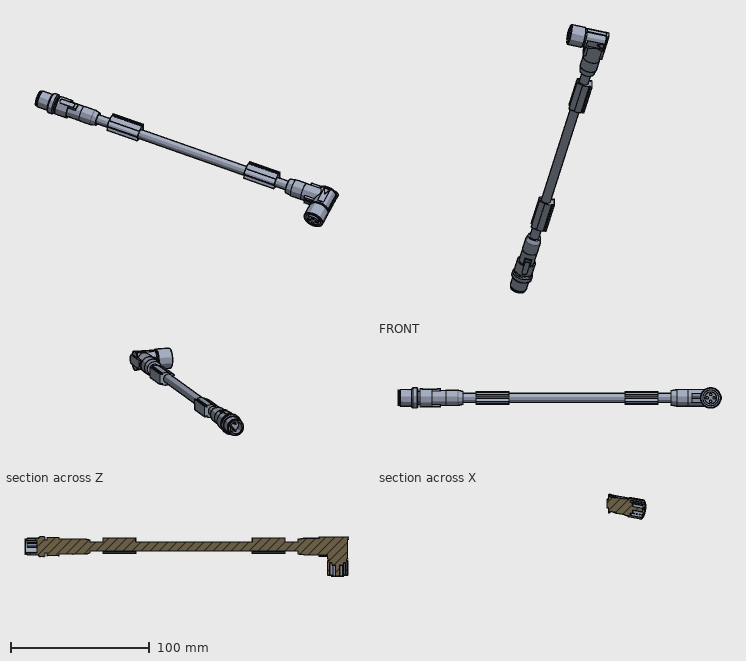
import cadquery as cq
import math

TOTAL_LENGTH = 233.05
KNURL_RADIUS = 7.4
FEMALE_REACH = 21.5
ELBOW_AXIS_X = 225.4

CABLE_RADIUS = 3.4
SLEEVE_LENGTH = 23.8
SLEEVE_STARTS = (56.1, 163.6)
SLEEVE_DOME_HEIGHT = 4.75
SLEEVE_LIP_HEIGHT = 3.9
SLEEVE_LIP_CROWN_HEIGHT = 3.54
SLEEVE_TIP_HEIGHT = 2.45
SLEEVE_STEP_Y = -0.8
SLEEVE_TIP_Y = -4.9
SLEEVE_V_BOTTOM_Y = -3.0
SLEEVE_DOME_END_Y = 4.2
SLEEVE_RAIL_Y = 5.2
SLEEVE_BACK_Y = 6.3
SLEEVE_NECK_HEIGHT = 3.4

MALE_THREAD_RADIUS = 6.1
MALE_NOSE_RADIUS = 5.6
MALE_NOSE_LENGTH = 0.9
MALE_THREAD_START = 1.8
MALE_RING_START = 9.7
MALE_RING_END = 14.3
RING_CHAMFER = 0.8
MALE_NECK_RADIUS = 4.9
MALE_HEAD_START = 15.7
MALE_HEAD_END = 24.5
MALE_HEAD_RADIUS = 6.7
MALE_BODY_RADIUS = 5.5
MALE_GRIP_START = 34.4
MALE_GRIP_END = 43.3
MALE_GRIP_RADIUS = 5.6
MALE_TAIL_END = 46.8
MALE_TAIL_RADIUS = 4.7
MALE_BORE_RADIUS = 4.4
MALE_BORE_DEPTH = 8.5
PIN_RADIUS = 0.5
PIN_CIRCLE_RADIUS = 2.5
CONTACT_POSITIONS = 4
PIN_RECESS = 1.5
TONGUE_CREST_WIDTH = 4.3
TONGUE_ROOT_WIDTH = 5.4
TONGUE_ROOT_HEIGHT = 4.6
TONGUE_END = 30.5
WINDOW_START = 17.2
WINDOW_END = 28.4
WINDOW_WIDTH = 3.8
WINDOW_CORNER = 1.5
WINDOW_DEPTH = 0.6

BOOT_START = 196.6
BOOT_END_RADIUS = 5.3
BOOT_GRIP_START = 201.0
BOOT_GRIP_END = 209.2
BOOT_GRIP_RADIUS = 6.2
ELBOW_BODY_RADIUS = 6.1
LATCH_START = 212.0
LATCH_WIDTH = 6.6
LATCH_Y = -7.0
LATCH_GROOVE_WIDTH = 1.2
LATCH_GROOVE_DEPTH = 0.8
HEAD_RADIUS = 6.8
COVER_RADIUS = 7.1
COVER_BOTTOM_Y = 5.2
COVER_TOP_Y = 5.9
BAR_TOP_Y = 7.0
BAR_CORNER = 3.0
HEAD_BOTTOM_Y = -9.0
HEAD_RIB_WIDTH = 4.0
SOCKET_NECK_RADIUS = 6.5
SOCKET_TOP_Y = -10.0
SOCKET_RIM_Y = -20.8
SOCKET_BORE_RADIUS = 5.7
SOCKET_BORE_DEPTH = 9.0
INSERT_RADIUS = 4.3
CONTACT_RADIUS = 0.9
CONTACT_DEPTH = 8.0
KEY_WIDTH = 1.2
KEY_DEPTH = 0.8
MARK_WIDTH = 4.6
MARK_START_Y = -7.5
MARK_END_Y = 4.8
MARK_DEPTH = 0.5
ARROW_LENGTH = 5.0
ARROW_DEPTH = 0.5

KNURL_TEETH = 24
KNURL_DEPTH = 0.25
SOCKET_CHAMFER = 0.4


def x_cylinder(start, end, radius):
    """Cylinder on the cable axis."""
    return cq.Workplane("YZ").workplane(offset=start).circle(radius).extrude(end - start)


def elbow_cylinder(y_start, y_end, radius):
    """Cylinder on the elbow axis, running from y_start down to y_end."""
    plane = cq.Workplane("XZ", origin=(ELBOW_AXIS_X, y_start, 0))
    return plane.circle(radius).extrude(y_start - y_end)


def box(x_range, y_range, z_range):
    """Box between two limits on each axis."""
    sizes = [high - low for low, high in (x_range, y_range, z_range)]
    corner = (x_range[0], y_range[0], z_range[0])
    return cq.Workplane("XY").box(*sizes, centered=False).translate(corner)


def turned(profile):
    """Solid of revolution about the cable axis from (x, radius) points."""
    points = [(profile[0][0], 0)] + profile + [(profile[-1][0], 0)]
    return cq.Workplane("XY").polyline(points).close().revolve(360, (0, 0, 0), (1, 0, 0))


def contact_points():
    """Contact positions on the pin circle."""
    angles = [2 * math.pi * i / CONTACT_POSITIONS for i in range(CONTACT_POSITIONS)]
    return [(PIN_CIRCLE_RADIUS * math.cos(a), PIN_CIRCLE_RADIUS * math.sin(a)) for a in angles]


def knurled_nut(length, chamfer):
    """Ring blank along Z from the origin with a smooth wavy rim and chamfered ends."""
    mean_radius = KNURL_RADIUS - KNURL_DEPTH / 2

    def rim(t):
        radius = mean_radius + KNURL_DEPTH / 2 * math.cos(KNURL_TEETH * t)
        return (radius * math.cos(t), radius * math.sin(t), 0)

    points_per_tooth = 4
    wave = cq.Workplane("XY").parametricCurve(rim, KNURL_TEETH * points_per_tooth, 0, 2 * math.pi)
    blank = cq.Workplane("XY").circle(KNURL_RADIUS).extrude(length).edges().chamfer(chamfer)
    return wave.extrude(length).intersect(blank)


def label_sleeve(start):
    """Clip-on label sleeve with a V mouth towards -Y and a label rail at +Y."""
    dome_mid = (SLEEVE_STEP_Y + SLEEVE_DOME_END_Y) / 2
    lip_mid = (SLEEVE_STEP_Y + SLEEVE_TIP_Y) / 2
    dome_edge = (SLEEVE_DOME_HEIGHT + SLEEVE_LIP_HEIGHT) / 2
    half = (
        cq.Workplane("YZ", origin=(start, 0, 0))
        .moveTo(SLEEVE_BACK_Y, 0)
        .lineTo(SLEEVE_BACK_Y, SLEEVE_LIP_HEIGHT)
        .lineTo(SLEEVE_RAIL_Y, SLEEVE_LIP_HEIGHT)
        .lineTo(SLEEVE_RAIL_Y, SLEEVE_NECK_HEIGHT)
        .lineTo(SLEEVE_DOME_END_Y, SLEEVE_NECK_HEIGHT)
        .lineTo(SLEEVE_DOME_END_Y, dome_edge)
        .threePointArc((dome_mid, SLEEVE_DOME_HEIGHT), (SLEEVE_STEP_Y, dome_edge))
        .lineTo(SLEEVE_STEP_Y, SLEEVE_LIP_HEIGHT)
        .threePointArc((lip_mid, SLEEVE_LIP_CROWN_HEIGHT), (SLEEVE_TIP_Y, SLEEVE_TIP_HEIGHT))
        .lineTo(SLEEVE_V_BOTTOM_Y, 0)
        .close()
        .extrude(SLEEVE_LENGTH)
    )
    return half.union(half.mirror("XY"))


def male_connector():
    """Straight pin connector with a knurled coupling ring and a tapered tail."""
    body = turned([
        (0, MALE_NOSE_RADIUS),
        (MALE_NOSE_LENGTH, MALE_NOSE_RADIUS),
        (MALE_THREAD_START, MALE_THREAD_RADIUS),
        (MALE_RING_START, MALE_THREAD_RADIUS),
        (MALE_RING_START, MALE_NECK_RADIUS),
        (MALE_HEAD_START, MALE_NECK_RADIUS),
        (MALE_HEAD_START, MALE_HEAD_RADIUS),
        (MALE_HEAD_END, MALE_HEAD_RADIUS),
        (MALE_HEAD_END, MALE_BODY_RADIUS),
        (MALE_GRIP_START, MALE_BODY_RADIUS),
        (MALE_GRIP_START, MALE_GRIP_RADIUS),
        (MALE_GRIP_END, MALE_GRIP_RADIUS),
        (MALE_TAIL_END, MALE_TAIL_RADIUS),
    ])
    ring = knurled_nut(MALE_RING_END - MALE_RING_START, RING_CHAMFER)
    body = body.union(ring.rotate((0, 0, 0), (0, 1, 0), 90).translate((MALE_RING_START, 0, 0)))
    body = body.union(tongues()).cut(tongue_windows())
    return body.cut(x_cylinder(0, MALE_BORE_DEPTH, MALE_BORE_RADIUS)).union(pins())


def tongues():
    """Tapered tongues continuing the head at +Z and -Z."""
    half_crest = TONGUE_CREST_WIDTH / 2
    half_root = TONGUE_ROOT_WIDTH / 2
    tongue = (
        cq.Workplane("YZ", origin=(MALE_HEAD_START, 0, 0))
        .moveTo(0, 0)
        .lineTo(half_root, TONGUE_ROOT_HEIGHT)
        .lineTo(half_crest, MALE_HEAD_RADIUS)
        .lineTo(-half_crest, MALE_HEAD_RADIUS)
        .lineTo(-half_root, TONGUE_ROOT_HEIGHT)
        .close()
        .extrude(TONGUE_END - MALE_HEAD_START)
        .intersect(x_cylinder(MALE_HEAD_START, TONGUE_END, MALE_HEAD_RADIUS))
    )
    return tongue.union(tongue.mirror("XY"))


def tongue_windows():
    """Shallow round-cornered pockets in the +Z and -Z tongues."""
    center_x = (WINDOW_START + WINDOW_END) / 2
    floor = MALE_HEAD_RADIUS - WINDOW_DEPTH
    window = (
        cq.Workplane("XY", origin=(center_x, 0, floor))
        .rect(WINDOW_END - WINDOW_START, WINDOW_WIDTH)
        .extrude(2 * WINDOW_DEPTH)
        .edges("|Z")
        .fillet(WINDOW_CORNER)
    )
    return window.union(window.mirror("XY"))


def pins():
    """Three contact pins on the floor of the male bore; the -Y position stays empty."""
    plane = cq.Workplane("YZ", origin=(PIN_RECESS, 0, 0))
    points = [p for p in contact_points() if p[0] > -PIN_RADIUS]
    return plane.pushPoints(points).circle(PIN_RADIUS).extrude(MALE_BORE_DEPTH - PIN_RECESS)


def elbow_body():
    """Cable boot, upright head, cover and latch pad of the angled connector."""
    boot = turned([
        (BOOT_START, BOOT_END_RADIUS),
        (BOOT_GRIP_START, ELBOW_BODY_RADIUS),
        (BOOT_GRIP_START, BOOT_GRIP_RADIUS),
        (BOOT_GRIP_END, BOOT_GRIP_RADIUS),
        (BOOT_GRIP_END, ELBOW_BODY_RADIUS),
        (ELBOW_AXIS_X, ELBOW_BODY_RADIUS),
    ])
    half_latch = LATCH_WIDTH / 2
    half_groove = LATCH_GROOVE_WIDTH / 2
    pad = box((LATCH_START, ELBOW_AXIS_X), (LATCH_Y, 0), (-half_latch, half_latch))
    bar = box((LATCH_START, TOTAL_LENGTH), (COVER_BOTTOM_Y, BAR_TOP_Y), (-half_latch, half_latch))
    bar = bar.edges("|Y and >X").fillet(BAR_CORNER)
    bar_root = box((LATCH_START, ELBOW_AXIS_X), (0, COVER_BOTTOM_Y), (-half_latch, half_latch))
    groove = box(
        (LATCH_START, ELBOW_AXIS_X - HEAD_RADIUS),
        (LATCH_Y, LATCH_Y + LATCH_GROOVE_DEPTH),
        (-half_groove, half_groove),
    )
    head = elbow_cylinder(COVER_BOTTOM_Y, HEAD_BOTTOM_Y, HEAD_RADIUS)
    cover = elbow_cylinder(COVER_TOP_Y, COVER_BOTTOM_Y, COVER_RADIUS)
    half_rib = HEAD_RIB_WIDTH / 2
    rib_reach = (ELBOW_AXIS_X - KNURL_RADIUS, ELBOW_AXIS_X + KNURL_RADIUS)
    ribs = box(rib_reach, (HEAD_BOTTOM_Y, COVER_BOTTOM_Y), (-half_rib, half_rib))
    ribs = ribs.intersect(elbow_cylinder(COVER_BOTTOM_Y, HEAD_BOTTOM_Y, KNURL_RADIUS))
    body = boot.union(pad).cut(groove)
    for piece in (bar_root, bar, head, cover, ribs):
        body = body.union(piece)
    return body.cut(head_marks())


def head_marks():
    """Flat with a deeper arrow on the +Z and -Z flanks of the elbow head."""
    half_width = MARK_WIDTH / 2
    x_range = (ELBOW_AXIS_X - half_width, ELBOW_AXIS_X + half_width)
    floor = HEAD_RADIUS - MARK_DEPTH
    mark = box(x_range, (MARK_START_Y, MARK_END_Y), (floor, COVER_RADIUS))
    arrow = (
        cq.Workplane("XY", origin=(ELBOW_AXIS_X, MARK_END_Y, floor - ARROW_DEPTH))
        .polyline([(-half_width, 0), (half_width, 0), (0, -ARROW_LENGTH)])
        .close()
        .extrude(ARROW_DEPTH)
    )
    mark = mark.union(arrow)
    return mark.union(mark.mirror("XY"))


def female_socket():
    """Knurled socket nut facing -Y with its contact insert."""
    nut = knurled_nut(SOCKET_TOP_Y - SOCKET_RIM_Y, SOCKET_CHAMFER)
    nut = nut.rotate((0, 0, 0), (1, 0, 0), 90).translate((ELBOW_AXIS_X, SOCKET_TOP_Y, 0))
    bore = elbow_cylinder(SOCKET_RIM_Y + SOCKET_BORE_DEPTH, SOCKET_RIM_Y, SOCKET_BORE_RADIUS)
    neck = elbow_cylinder(HEAD_BOTTOM_Y, SOCKET_TOP_Y, SOCKET_NECK_RADIUS)
    insert = elbow_cylinder(SOCKET_TOP_Y, -FEMALE_REACH, INSERT_RADIUS)
    contacts = (
        cq.Workplane("XZ", origin=(ELBOW_AXIS_X, CONTACT_DEPTH - FEMALE_REACH, 0))
        .pushPoints(contact_points())
        .circle(CONTACT_RADIUS)
        .extrude(CONTACT_DEPTH)
    )
    key_x = ELBOW_AXIS_X + INSERT_RADIUS
    half_key = KEY_WIDTH / 2
    keyway = box(
        (key_x - KEY_DEPTH, key_x),
        (-FEMALE_REACH, CONTACT_DEPTH - FEMALE_REACH),
        (-half_key, half_key),
    )
    return nut.cut(bore).union(neck).union(insert.cut(contacts).cut(keyway))


result = x_cylinder(MALE_GRIP_END, BOOT_GRIP_START, CABLE_RADIUS)
for sleeve_start in SLEEVE_STARTS:
    result = result.union(label_sleeve(sleeve_start))
result = result.union(male_connector())
result = result.union(elbow_body())
result = result.union(female_socket())